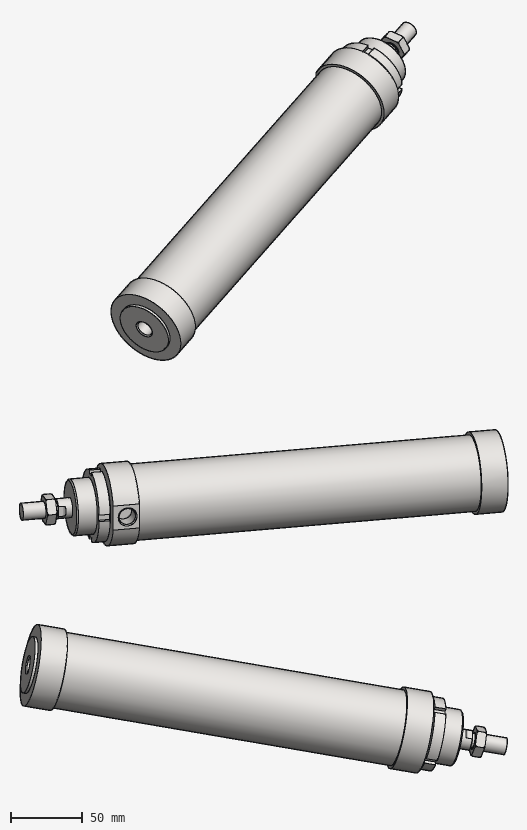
import cadquery as cq
import math


overall_length = 345.0
cap_length = 19.0
rear_boss_length = 2.0
tube_length = 245.5
front_boss_length = 24.0

rear_cap_y = rear_boss_length
tube_y = rear_cap_y + cap_length
front_cap_y = tube_y + tube_length
front_boss_y = front_cap_y + cap_length
rod_y = front_boss_y + front_boss_length

tube_diameter = 53.8
cap_diameter = 58.0
boss_diameter = 40.0
boss_chamfer = 1.0

port_flat_width = 18.0
port_flat_x = -math.sqrt((cap_diameter / 2) ** 2 - (port_flat_width / 2) ** 2)
port_diameter = 11.7
port_mouth_diameter = 13.5
port_chamfer = (port_mouth_diameter - port_diameter) / 2
port_depth = 12.0
side_port_setback = 10.5
side_port_y = front_boss_y - side_port_setback
drill_point_angle = 118.0
drill_point_length = port_diameter / 2 / math.tan(math.radians(drill_point_angle / 2))

ring_nut_diameter = 51.8
ring_nut_width = 8.0
ring_nut_gap = 1.7
ring_nut_y = front_boss_y + ring_nut_gap
ring_slot_width = 5.0
ring_slot_depth = 2.8
ring_slot_count = 4

rod_diameter = 14.0
shank_length = 10.0
flat_length = 5.2
across_flats = 12.0
flat_root_radius = 1.0
neck_diameter = 10.5
neck_length = 2.0
thread_diameter = 12.0

neck_y = rod_y + shank_length
thread_y = neck_y + neck_length

hex_across_flats = 19.0
hex_across_corners = hex_across_flats / math.cos(math.pi / 6)
hex_nut_width = 7.0
hex_chamfer_radial = 1.0
hex_chamfer_axial = 0.52
hex_nut_y = thread_y


def cylinder(diameter, start_y, length):
    """Solid cylinder on the Y axis, running toward +Y from start_y."""
    start = cq.Workplane("XZ", origin=(0, start_y, 0))
    return start.circle(diameter / 2).extrude(-length)


def port_cutter(point_length):
    """Port bore with a chamfered mouth at the origin, running along +X to a flat or pointed end."""
    bore_radius = port_diameter / 2
    return (
        cq.Workplane("XY")
        .moveTo(0, 0)
        .lineTo(0, port_mouth_diameter / 2)
        .lineTo(port_chamfer, bore_radius)
        .lineTo(port_depth, bore_radius)
        .lineTo(port_depth + point_length, 0)
        .close()
        .revolve(360, (0, 0, 0), (1, 0, 0))
    )


def make_housing():
    """Tube with its two end caps, end bosses and air ports."""
    front_cap = cylinder(cap_diameter, front_cap_y, cap_length)
    flat_cutter = (
        cq.Workplane("XY")
        .box(cap_diameter, cap_length, cap_diameter, centered=(True, False, True))
        .translate((port_flat_x - cap_diameter / 2, front_cap_y, 0))
    )
    front_boss = cylinder(boss_diameter, front_boss_y, front_boss_length)
    front_boss = front_boss.faces(">Y").chamfer(boss_chamfer)

    housing = (
        cylinder(boss_diameter, 0, rear_boss_length)
        .union(cylinder(cap_diameter, rear_cap_y, cap_length))
        .union(cylinder(tube_diameter, tube_y, tube_length))
        .union(front_cap.cut(flat_cutter))
        .union(front_boss)
    )
    rear_port = port_cutter(drill_point_length).rotate((0, 0, 0), (0, 0, 1), 90)
    side_port = port_cutter(0).translate((port_flat_x, side_port_y, 0))
    return housing.cut(rear_port).cut(side_port)


def make_ring_nut():
    """Round nut on the front boss, with spanner slots across its rim."""
    nut = cylinder(ring_nut_diameter, ring_nut_y, ring_nut_width)
    nut = nut.cut(cylinder(boss_diameter, ring_nut_y, ring_nut_width))
    slot = (
        cq.Workplane("XY")
        .box(ring_slot_width, ring_nut_width, 2 * ring_slot_depth, centered=(True, False, True))
        .translate((0, ring_nut_y, ring_nut_diameter / 2))
    )
    for index in range(ring_slot_count):
        angle = index * 360 / ring_slot_count
        nut = nut.cut(slot.rotate((0, 0, 0), (0, 1, 0), angle))
    return nut


def make_rod():
    """Piston rod standing on the front boss: shank with two wrench flats, neck and thread."""
    shank = cylinder(rod_diameter, rod_y, shank_length)
    flat_cutter = (
        cq.Workplane("XY")
        .box(rod_diameter, flat_length, rod_diameter, centered=(False, False, True))
        .edges("<X and <Y")
        .fillet(flat_root_radius)
        .translate((across_flats / 2, neck_y - flat_length, 0))
    )
    return (
        shank
        .cut(flat_cutter)
        .cut(flat_cutter.mirror("YZ"))
        .union(cylinder(neck_diameter, neck_y, neck_length))
        .union(cylinder(thread_diameter, thread_y, overall_length - thread_y))
    )


def make_hex_nut():
    """Hex lock nut on the rod thread, corners toward +X and -X, corners chamfered at both ends."""
    start = cq.Workplane("XZ", origin=(0, hex_nut_y, 0))
    prism = start.polygon(6, hex_across_corners).extrude(-hex_nut_width)
    corner_trim = cylinder(hex_across_corners, hex_nut_y, hex_nut_width)
    corner_trim = corner_trim.faces("<Y").chamfer(hex_chamfer_radial, hex_chamfer_axial)
    corner_trim = corner_trim.faces(">Y").chamfer(hex_chamfer_radial, hex_chamfer_axial)
    bore = cylinder(thread_diameter, hex_nut_y, hex_nut_width)
    return prism.intersect(corner_trim).cut(bore)


housing = make_housing()
ring_nut = make_ring_nut()
rod = make_rod()
hex_nut = make_hex_nut()

result = cq.Compound.makeCompound([housing.val(), ring_nut.val(), rod.val(), hex_nut.val()])